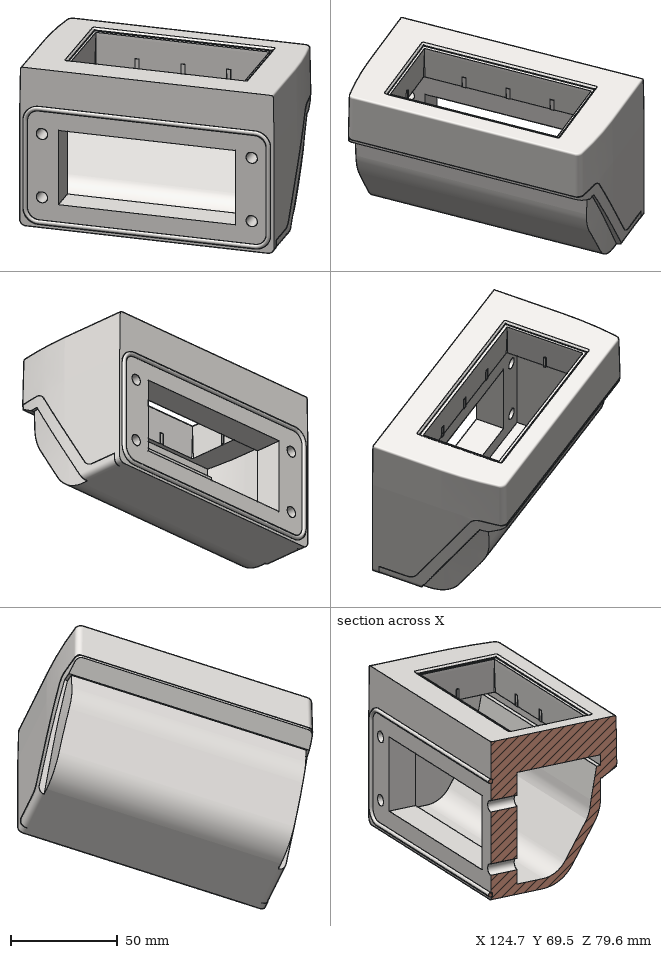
import cadquery as cq
import math

WIDTH = 124.7
HEIGHT = 79.6
DEPTH = 68.3
WALL = 5.4
FAR = 249.5

SIDE_STRAIGHT = 36.4
SIDE_RADIUS = 177.1
BACK_CORNER_RADIUS = 3.1
LOWER_BACK = 59.6

SPLIT_Z = 55.6
UPPER_DRAFT = 1.0
TOP_EDGE_RADIUS = 1.0
LIP_TIP_Z = 53.9
LIP_BOTTOM_Z = 49.5
LIP_BOTTOM_Y = 60.1
SLANT_ANGLE = 32.2
ELBOW_BOTTOM_Y = 27.9
ELBOW_BOTTOM_RADIUS = 19.2
ELBOW_BACK_RADIUS = 22.5
BOTTOM_EDGE_RADIUS = 3.1

STRIP_INSET = 0.19
REAR_INSET = 3.4
REAR_DRAFT = 2.0
STRIP_TOP_Z = 55.3
STRIP_FOOT_Z = 5.6
STRIP_FOOT_Y = 3.5
STRIP_SLANT_Y = 18.0
REAR_SLANT_Y = 24.8
STRIP_CORNER_RADIUS = 6.2

FRONT_WALL = 14.3
CAVITY_TOP_Z = 61.2
LEDGE_Z = 56.1
CAVITY_BACK = 59.4
BACK_SLOPE_ANGLE = 10.5
BACK_SLOPE_FOOT = (54.1, 39.7)
BACK_ARC_TOP = (53.8, 37.0)
BACK_ARC_BOTTOM = (51.8, 30.3)

OPENING_WIDTH = 85.0
OPENING_DEPTH = 39.8
OPENING_CENTER_Y = 36.5
OPENING_TAPER = 2.1
SEAT_WIDTH = 89.4
SEAT_LENGTH = 44.9
SEAT_CHAMFER = 1.0
SEAT_DEPTH = 1.5
SEAT_CORNER_RADIUS = 1.5
LIP_THICKNESS = 1.5

RIB_WIDTH = 2.0
RIB_HEIGHT = 5.7
RIB_DEPTH = 0.5
RIB_PITCH = 22.5

WINDOW_WIDTH = 86.7
WINDOW_HEIGHT = 37.3
FRONT_CENTER_Z = 31.2
HOLE_DIAMETER = 5.5
HOLE_SPACING_X = 102.8
HOLE_SPACING_Z = 31.8
CORD_DIAMETER = 2.2
GASKET_PROJECTION = 1.2
GASKET_WIDTH = 121.4
GASKET_HEIGHT = 59.2
GASKET_RADIUS = 7.7

SLANT_TAN = math.tan(math.radians(SLANT_ANGLE))


def side_point(y_at_bottom, z):
    """Point at height z on a slanted line that meets z = 0 at y_at_bottom."""
    return (y_at_bottom + z * SLANT_TAN, z)


def toward(start, end, distance):
    """Point at the given distance from start on the way to end."""
    length = math.dist(start, end)
    return tuple(s + (e - s) * distance / length for s, e in zip(start, end))


def round_corner(sketch, before, corner, after, radius):
    """Continue a sketch to a corner and around it with a tangent arc."""
    incoming = math.atan2(corner[1] - before[1], corner[0] - before[0])
    outgoing = math.atan2(after[1] - corner[1], after[0] - corner[0])
    turn = math.remainder(outgoing - incoming, 2 * math.pi)
    setback = radius * math.tan(abs(turn) / 2)
    start = toward(corner, before, setback)
    end = toward(corner, after, setback)
    bisector = tuple((s + e) / 2 for s, e in zip(start, end))
    middle = toward(corner, bisector, radius / math.cos(turn / 2) - radius)
    return sketch.lineTo(*start).threePointArc(middle, end)


def across(sketch):
    """Extrude a side sketch (y, z) symmetrically across the width."""
    return sketch.close().extrude(FAR / 2, both=True)


def plan_prism(inset, bottom, top, draft=0.0):
    """Prism of the outer shape seen from above; it reaches past the front face."""
    half = WIDTH / 2 - inset
    radius = SIDE_RADIUS - inset
    corner_y = DEPTH - inset
    corner_x = half - radius + math.sqrt(radius**2 - (corner_y - SIDE_STRAIGHT)**2)
    half_angle = math.asin((corner_y - SIDE_STRAIGHT) / radius) / 2
    middle_x = half - radius + radius * math.cos(half_angle)
    middle_y = SIDE_STRAIGHT + radius * math.sin(half_angle)
    front = -WALL
    outline = (
        cq.Workplane("XY", origin=(0, 0, bottom))
        .moveTo(-half, front)
        .lineTo(half, front)
        .lineTo(half, SIDE_STRAIGHT)
        .threePointArc((middle_x, middle_y), (corner_x, corner_y))
        .lineTo(-corner_x, corner_y)
        .threePointArc((-middle_x, middle_y), (-half, SIDE_STRAIGHT))
        .close()
    )
    return outline.extrude(top - bottom, taper=draft)


def round_back(prism):
    """Round the two upright corners at the back."""
    return prism.faces(">Y").edges("not #Z").fillet(BACK_CORNER_RADIUS)


def upper_block():
    block = round_back(plan_prism(0, SPLIT_Z, HEIGHT, UPPER_DRAFT))
    ahead = cq.Workplane("XY").box(FAR, FAR, FAR).translate((0, -FAR / 2, 0))
    block = block.cut(ahead)
    rim = block.faces(">Z").edges("not <Y")
    return rim.fillet(TOP_EDGE_RADIUS)


def front_profile():
    """Side profile of the full-width part, above and ahead of the strip's edge."""
    top_back = (FAR, STRIP_TOP_Z)
    high = side_point(STRIP_SLANT_Y, STRIP_TOP_Z)
    low = side_point(STRIP_SLANT_Y, STRIP_FOOT_Z)
    foot = (STRIP_FOOT_Y, STRIP_FOOT_Z)
    sketch = cq.Workplane("YZ").moveTo(0, 0).lineTo(0, SPLIT_Z).lineTo(FAR, SPLIT_Z).lineTo(*top_back)
    sketch = round_corner(sketch, top_back, high, low, STRIP_CORNER_RADIUS)
    sketch = round_corner(sketch, high, low, foot, STRIP_CORNER_RADIUS)
    return across(sketch.lineTo(*foot).lineTo(STRIP_FOOT_Y, 0))


def strip_profile():
    """Side profile of the front, the strip and the back lip together."""
    return across(
        cq.Workplane("YZ")
        .moveTo(0, 0)
        .lineTo(0, SPLIT_Z)
        .lineTo(DEPTH, SPLIT_Z)
        .lineTo(DEPTH, LIP_TIP_Z)
        .lineTo(LIP_BOTTOM_Y, LIP_BOTTOM_Z)
        .lineTo(*side_point(REAR_SLANT_Y, LIP_BOTTOM_Z))
        .lineTo(REAR_SLANT_Y, 0)
    )


def elbow_profile():
    """Side profile of the lower elbow: bottom, slant and back wall."""
    slant_start = ELBOW_BOTTOM_Y + ELBOW_BOTTOM_RADIUS * math.tan(math.radians(90 - SLANT_ANGLE) / 2)
    front = (REAR_SLANT_Y, 0)
    low = (slant_start, 0)
    high = side_point(slant_start, (LOWER_BACK - slant_start) / SLANT_TAN)
    top = (LOWER_BACK, LIP_BOTTOM_Z)
    sketch = cq.Workplane("YZ").moveTo(*front)
    sketch = round_corner(sketch, front, low, high, ELBOW_BOTTOM_RADIUS)
    sketch = round_corner(sketch, low, high, top, ELBOW_BACK_RADIUS)
    return across(sketch.lineTo(*top).lineTo(*side_point(REAR_SLANT_Y, LIP_BOTTOM_Z)))


def rounded_bottom(inset):
    """Bar along the depth, inset from the full width, with both long bottom edges rounded."""
    bar = cq.Workplane("XY").box(WIDTH - 2 * inset, FAR, HEIGHT, centered=(True, True, False))
    return bar.edges("<Z").edges("|Y").fillet(BOTTOM_EDGE_RADIUS)


def outer_shell():
    front = round_back(plan_prism(0, 0, SPLIT_Z)).intersect(front_profile()).intersect(rounded_bottom(0))
    strip = round_back(plan_prism(STRIP_INSET, 0, SPLIT_Z)).intersect(strip_profile())
    strip = strip.intersect(rounded_bottom(STRIP_INSET))
    elbow = plan_prism(REAR_INSET, 0, SPLIT_Z, -REAR_DRAFT).intersect(elbow_profile())
    return upper_block().union(front).union(strip).union(elbow)


def cavity():
    """Hollow of the elbow, behind the thick front wall and below the opening."""
    floor_radius = ELBOW_BOTTOM_RADIUS - WALL
    slant_y = BACK_ARC_BOTTOM[0] - (BACK_ARC_BOTTOM[1] - WALL) * SLANT_TAN
    front = (FRONT_WALL, WALL)
    low = (slant_y, WALL)
    slope_run = (LEDGE_Z - BACK_SLOPE_FOOT[1]) * math.tan(math.radians(BACK_SLOPE_ANGLE))
    arc_bisector_angle = math.radians((SLANT_ANGLE + BACK_SLOPE_ANGLE) / 2)
    arc_turn = math.radians(SLANT_ANGLE - BACK_SLOPE_ANGLE)
    sagitta = math.dist(BACK_ARC_TOP, BACK_ARC_BOTTOM) * math.tan(arc_turn / 4) / 2
    arc_middle = (
        (BACK_ARC_TOP[0] + BACK_ARC_BOTTOM[0]) / 2 + sagitta * math.cos(arc_bisector_angle),
        (BACK_ARC_TOP[1] + BACK_ARC_BOTTOM[1]) / 2 - sagitta * math.sin(arc_bisector_angle),
    )
    sketch = cq.Workplane("YZ").moveTo(*front)
    sketch = round_corner(sketch, front, low, BACK_ARC_BOTTOM, floor_radius)
    sketch = (
        sketch.lineTo(*BACK_ARC_BOTTOM)
        .threePointArc(arc_middle, BACK_ARC_TOP)
        .lineTo(*BACK_SLOPE_FOOT)
        .lineTo(BACK_SLOPE_FOOT[0] + slope_run, LEDGE_Z)
        .lineTo(CAVITY_BACK, LEDGE_Z)
        .lineTo(CAVITY_BACK, CAVITY_TOP_Z)
        .lineTo(FRONT_WALL, CAVITY_TOP_Z)
    )
    return across(sketch).intersect(plan_prism(WALL, 0, CAVITY_TOP_Z))


def top_opening():
    lip_bottom = HEIGHT - SEAT_DEPTH - LIP_THICKNESS
    center = (0, OPENING_CENTER_Y)
    seat = (
        cq.Workplane("XY", origin=(*center, HEIGHT - SEAT_DEPTH))
        .rect(SEAT_WIDTH - 2 * SEAT_CHAMFER, SEAT_LENGTH - 2 * SEAT_CHAMFER)
        .extrude(SEAT_DEPTH)
    )
    lead_in = (
        cq.Workplane("XY", origin=(*center, HEIGHT))
        .rect(SEAT_WIDTH, SEAT_LENGTH)
        .extrude(-SEAT_CHAMFER, taper=45)
        .edges("not #Z")
        .fillet(SEAT_CORNER_RADIUS)
    )
    lip = (
        cq.Workplane("XY", origin=(*center, lip_bottom))
        .rect(OPENING_WIDTH, OPENING_DEPTH)
        .extrude(LIP_THICKNESS)
    )
    shaft = (
        cq.Workplane("XY", origin=(*center, lip_bottom))
        .rect(OPENING_WIDTH, OPENING_DEPTH)
        .extrude(CAVITY_TOP_Z - lip_bottom, taper=-OPENING_TAPER)
    )
    return seat.union(lead_in).union(lip).union(shaft.cut(ribs()))


def ribs():
    """Small ribs on the back, front and side walls of the opening."""
    center_z = CAVITY_TOP_Z + RIB_HEIGHT / 2
    foot_widening = (HEIGHT - CAVITY_TOP_Z) * math.tan(math.radians(OPENING_TAPER))
    wall_x = OPENING_WIDTH / 2 + foot_widening
    wall_y = OPENING_DEPTH / 2 + foot_widening
    places = []
    for side in (-1, 1):
        places.append((side * wall_x, 0))
        for step in (-1, 0, 1):
            places.append((step * RIB_PITCH, side * wall_y))
    rib_centers = cq.Workplane("XY", origin=(0, OPENING_CENTER_Y, center_z)).pushPoints(places)
    return rib_centers.box(RIB_WIDTH, RIB_DEPTH * 2, RIB_HEIGHT)


def front_window():
    window = cq.Workplane("XZ", origin=(0, 0, FRONT_CENTER_Z)).rect(WINDOW_WIDTH, WINDOW_HEIGHT)
    return window.extrude(-FRONT_WALL)


def screw_holes():
    pattern = cq.Workplane("XZ", origin=(0, 0, FRONT_CENTER_Z)).rect(
        HOLE_SPACING_X, HOLE_SPACING_Z, forConstruction=True
    )
    return pattern.vertices().circle(HOLE_DIAMETER / 2).extrude(-FRONT_WALL)


def make_gasket():
    """Round cord bent to a rounded rectangle, partly sunk in the front face."""
    half_x = (GASKET_WIDTH - CORD_DIAMETER) / 2
    half_z = (GASKET_HEIGHT - CORD_DIAMETER) / 2
    radius = GASKET_RADIUS - CORD_DIAMETER / 2
    cord_y = CORD_DIAMETER / 2 - GASKET_PROJECTION
    path = (
        cq.Workplane("XZ", origin=(0, cord_y, FRONT_CENTER_Z))
        .moveTo(0, half_z)
        .lineTo(half_x - radius, half_z)
        .tangentArcPoint((radius, -radius))
        .lineTo(half_x, radius - half_z)
        .tangentArcPoint((-radius, -radius))
        .lineTo(radius - half_x, -half_z)
        .tangentArcPoint((-radius, radius))
        .lineTo(-half_x, half_z - radius)
        .tangentArcPoint((radius, radius))
        .close()
    )
    cord = cq.Workplane("YZ", origin=(0, cord_y, FRONT_CENTER_Z + half_z)).circle(CORD_DIAMETER / 2)
    return cord.sweep(path)


def make_housing(seal):
    """Outer shell with its hollows and the groove that holds the seal."""
    shell = outer_shell()
    for hollow in (cavity(), top_opening(), front_window(), screw_holes(), seal):
        shell = shell.cut(hollow)
    return shell


gasket = make_gasket()
housing = make_housing(gasket)

result = cq.Compound.makeCompound([housing.val(), gasket.val()])